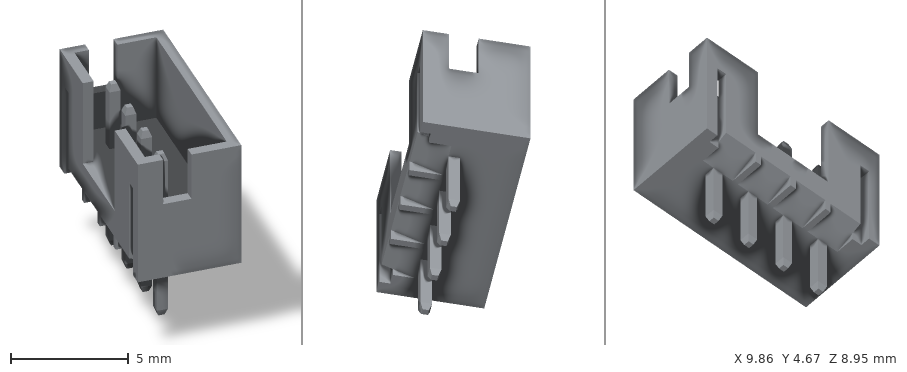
import cadquery as cq


body_length = 9.86
body_depth = 4.67
body_height = 5.9

floor_height = 1.86
end_wall = 0.48
front_wall = 0.49
back_wall = 0.48

window_width = 4.04
notch_width = 1.28
notch_depth = 2.22
notch_from_front = 1.14

pin_count = 4
pin_pitch = 1.99
pin_size = 0.5
pin_from_front = 1.72
pin_below_body = 3.05
pin_top_below_rim = 0.88
tip_length = 0.32
tip_size = 0.28

recess_width = 1.7
recess_height = 0.56
recess_depth = pin_from_front - pin_size / 2

slot_width = 0.5
slot_height = 4.37

half_length = body_length / 2
pin_positions = [(i - (pin_count - 1) / 2) * pin_pitch for i in range(pin_count)]


def box(x_range, y_range, z_range):
    """Box spanning the given (low, high) ranges."""
    spans = (x_range, y_range, z_range)
    sizes = [high - low for low, high in spans]
    corner = cq.Vector(*[low for low, high in spans])
    return cq.Workplane("XY").box(*sizes, centered=False).translate(corner)


def make_cavity():
    """Open-topped cavity around the pins."""
    half_cavity = half_length - end_wall
    return box((-half_cavity, half_cavity), (front_wall, body_depth - back_wall), (floor_height, body_height))


def make_window():
    """Opening in the front wall, flush with the cavity floor."""
    half_width = window_width / 2
    return box((-half_width, half_width), (0, front_wall), (floor_height, body_height))


def make_end_notches():
    """Notch through both end walls."""
    notch_y = (notch_from_front, notch_from_front + notch_width)
    return box((-half_length, half_length), notch_y, (body_height - notch_depth, body_height))


def make_recess(pin_x):
    """Recess under the front edge, its ceiling sloping down toward the back."""
    outline = [(0, 0), (recess_depth, 0), (0, recess_height)]
    prism = cq.Workplane("YZ").polyline(outline).close().extrude(recess_width / 2, both=True)
    return prism.translate((pin_x, 0, 0))


def make_slot(side):
    """Slot through the front wall near one end; side is -1 or 1."""
    inner = pin_positions[-1] + recess_width / 2
    x_range = sorted((side * inner, side * (inner + slot_width)))
    return box(x_range, (0, front_wall), (0, slot_height))


def make_pin_tip(base_z, direction):
    """Tapered pin end growing from base_z; direction is 1 for up or -1 for down."""
    return (
        cq.Workplane("XY", origin=(0, 0, base_z))
        .rect(pin_size, pin_size)
        .workplane(offset=direction * tip_length)
        .rect(tip_size, tip_size)
        .loft()
    )


def make_pin():
    """Square pin with both ends tapered, centred on X = Y = 0."""
    shank_bottom = tip_length - pin_below_body
    shank_top = body_height - pin_top_below_rim - tip_length
    half_size = pin_size / 2
    shank = box((-half_size, half_size), (-half_size, half_size), (shank_bottom, shank_top))
    return shank.union(make_pin_tip(shank_bottom, -1)).union(make_pin_tip(shank_top, 1))


result = box((-half_length, half_length), (0, body_depth), (0, body_height))
result = result.cut(make_cavity()).cut(make_window()).cut(make_end_notches())

for side in (-1, 1):
    result = result.cut(make_slot(side))

pin = make_pin()
for pin_x in pin_positions:
    result = result.cut(make_recess(pin_x))
    result = result.union(pin.translate((pin_x, pin_from_front, 0)))